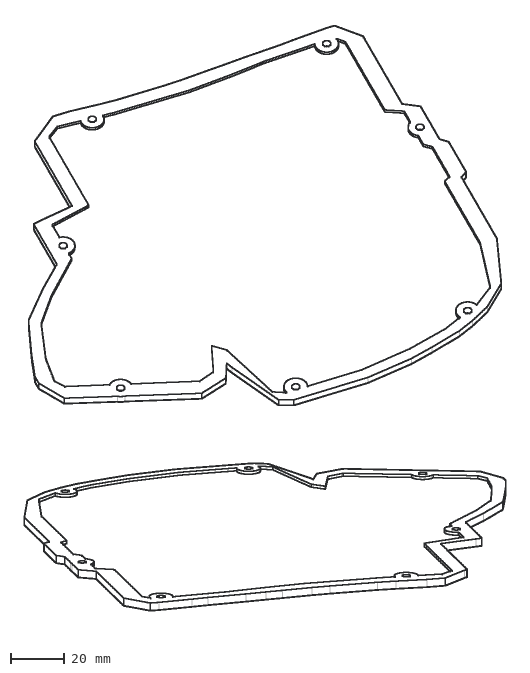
import cadquery as cq

plate_width = 173.3
plate_length = 190.3
plate_thickness = 3.0
pocket_depth = 1.1

screw_hole_diameter = 3.0
boss_diameter = 9.0
screw_centers = [
    (-25.7, 88.1),
    (69.0, 68.0),
    (80.7, -6.9),
    (56.0, -67.7),
    (-20.5, -59.2),
    (-76.9, -23.8),
    (-79.2, 72.5),
]

right_side = plate_width / 2
left_side = -right_side
top_side = plate_length / 2
bottom_side = -top_side

upper_right_edge = 92.5
upper_left_edge = 86.5
lower_left_edge = -48.1
bottom_left_edge = -65.0
upper_rim = 6.7
upper_left_rim = 7.2
lower_left_rim = 5.9
bottom_left_rim = 6.3
right_rim = 4.5

outer_edge = [
    (-14.5, top_side),
    (2.5, top_side),
    (4.2, upper_right_edge),
    (38.8, upper_right_edge),
    (60.9, 85.0),
    (70.0, 75.5),
    (74.5, 67.5),
    (77.6, 60.9),
    (81.5, 48.1),
    (84.0, 38.8),
    (right_side, 20.0),
    (right_side, -10.0),
    (84.5, -15.5),
    (62.0, -25.1),
    (59.4, -26.0),
    (66.5, -29.3),
    (70.2, -40.7),
    (52.7, -89.2),
    (41.9, bottom_side),
    (38.2, bottom_side),
    (27.2, -92.0),
    (12.2, -86.8),
    (10.0, -86.0),
    (-2.9, -74.8),
    (-12.5, bottom_left_edge),
    (-35.2, bottom_left_edge),
    (-35.8, -62.5),
    (-38.2, lower_left_edge),
    (-74.8, lower_left_edge),
    (-75.7, -46.8),
    (-84.0, -37.0),
    (-84.0, -29.7),
    (-83.0, -17.9),
    (-82.5, -10.8),
    (-82.5, 7.6),
    (-82.8, 14.7),
    (-83.5, 26.5),
    (-84.0, 33.0),
    (-84.5, 41.0),
    (-85.2, 56.0),
    (-85.8, 62.5),
    (left_side, 75.5),
    (left_side, 78.8),
    (-77.5, upper_left_edge),
    (-39.4, upper_left_edge),
    (-35.5, upper_right_edge),
    (-17.1, upper_right_edge),
]

pocket_edge = [
    (-14.5, top_side - upper_rim),
    (2.3, top_side - upper_rim),
    (3.8, upper_right_edge - upper_rim),
    (38.5, upper_right_edge - upper_rim),
    (61.0, 80.5),
    (67.5, 72.3),
    (71.5, 63.2),
    (74.5, 56.5),
    (79.0, 40.3),
    (right_side - right_rim, 19.6),
    (right_side - right_rim, -11.5),
    (79.7, -16.0),
    (53.0, -23.4),
    (48.9, -27.8),
    (61.7, -32.3),
    (64.1, -39.0),
    (47.2, -86.8),
    (43.2, -89.2),
    (31.0, -87.7),
    (13.3, -82.2),
    (1.7, -73.3),
    (-13.1, bottom_left_edge + bottom_left_rim),
    (-32.2, bottom_left_edge + bottom_left_rim),
    (-36.2, lower_left_edge + lower_left_rim),
    (-74.8, lower_left_edge + lower_left_rim),
    (-78.4, -37.3),
    (-76.9, -15.2),
    (-76.7, 15.8),
    (-78, 32.3),
    (-79.7, 47.5),
    (-80.5, 64.7),
    (-81.2, 76.0),
    (-77.3, upper_left_edge - upper_left_rim),
    (-39.0, upper_left_edge - upper_left_rim),
    (-35.5, upper_right_edge - upper_rim),
    (-17.0, upper_right_edge - upper_rim),
]


def prism(corners, height):
    return cq.Workplane("XY").polyline(corners).close().extrude(height)


def screw_cylinders(diameter):
    return (
        cq.Workplane("XY")
        .pushPoints(screw_centers)
        .circle(diameter / 2)
        .extrude(plate_thickness)
    )


floor_height = plate_thickness - pocket_depth
pocket = prism(pocket_edge, pocket_depth).translate((0, 0, floor_height))

result = (
    prism(outer_edge, plate_thickness)
    .cut(pocket)
    .union(screw_cylinders(boss_diameter))
    .cut(screw_cylinders(screw_hole_diameter))
)